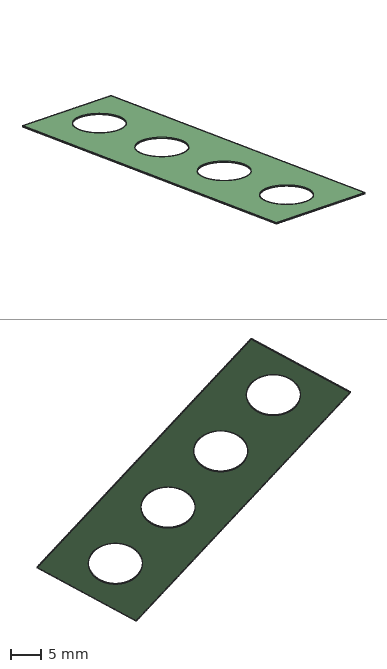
import cadquery as cq

length = 60.95
width = 20.05
thickness = 0.25

hole_count = 4
hole_diameter = 8.9
hole_pitch = 15.0
first_hole_from_left = 7.8

first_hole_x = first_hole_from_left - length / 2
hole_centres = [(first_hole_x + i * hole_pitch, 0) for i in range(hole_count)]

strip = cq.Workplane("XY").box(length, width, thickness)
result = strip.faces(">Z").workplane(origin=(0, 0, 0)).pushPoints(hole_centres).hole(hole_diameter)